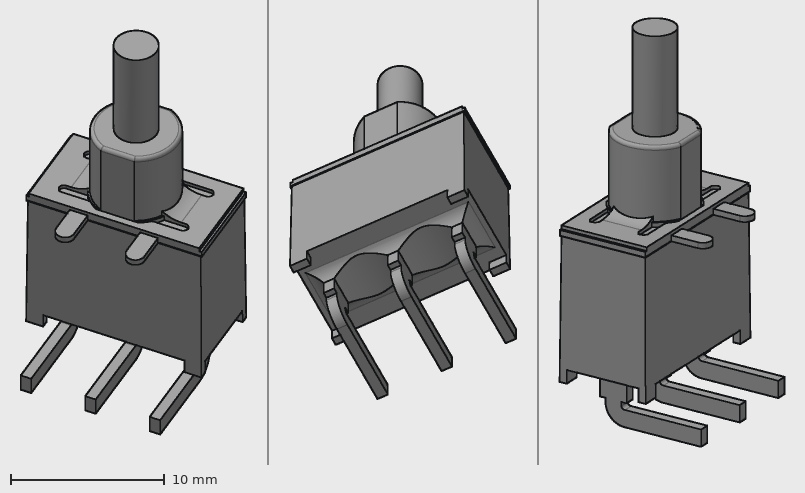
import cadquery as cq
import math


TOTAL_HEIGHT = 26.35
BUSHING_TOP = 19.2
COVER_TOP = 13.78
COVER_LEDGE = 13.5
COVER_BOTTOM = 13.1
RECESS_CEILING = 3.7
BODY_BOTTOM = 2.7

BODY_LENGTH = 12.7
BODY_WIDTH = 6.65
BODY_DRAFT = 0.5
RECESS_LENGTH = 10.22
RECESS_WIDTH = 5.53

COVER_WIDTH = 6.58
COVER_TOP_LENGTH = 12.33
SLOT_LENGTH = 9.32
SLOT_WIDTH = 0.7
SLOT_OFFSET = 1.87
TAB_WIDTH = 1.3
TAB_SPACING = 5.08
TAB_REACH = 5.95

RAMP_START = 3.98
RAMP_RADIUS = 2.32
RAMP_INNER = 2.37
RAMP_WIDTH = 2 * SLOT_OFFSET - SLOT_WIDTH

BUSHING_DIAMETER = 6.03
BUSHING_FLATS = 5.53
BUSHING_FILLET = 0.26
COLLAR_DIAMETER = 6.32
COLLAR_HEIGHT = 0.08
PLUNGER_DIAMETER = 2.95

PIN_PITCH = 4.65
PIN_WIDTH = 0.76
PIN_DEPTH = 1.25
PIN_REACH = 6.77
PIN_BEND_RADIUS = 0.25
SHOULDER_WIDTH = 2.05
SHOULDER_BOTTOM = 1.75

SEAL_BOTTOM = 3.03
SEAL_FLARE = 0.9
SEAL_FLARE_BULGE = 0.08
SEAL_ARCH_TOP = 3.58


def block(length, width, bottom, top):
    """Box centred on the Z axis between two heights."""
    return cq.Workplane("XY").workplane(offset=bottom).rect(length, width).extrude(top - bottom)


def make_body():
    """Drafted case with a cross-shaped recess that leaves four corner feet."""
    body = (
        cq.Workplane("XY")
        .workplane(offset=BODY_BOTTOM)
        .rect(BODY_LENGTH, BODY_WIDTH)
        .extrude(COVER_BOTTOM - BODY_BOTTOM, taper=BODY_DRAFT)
    )
    body = body.cut(block(RECESS_LENGTH, 2 * BODY_WIDTH, BODY_BOTTOM, RECESS_CEILING))
    return body.cut(block(2 * BODY_LENGTH, RECESS_WIDTH, BODY_BOTTOM, RECESS_CEILING))


def make_cover():
    """Stepped plate with two slots and two round-ended mounting tabs."""
    cover = block(BODY_LENGTH, COVER_WIDTH, COVER_BOTTOM, COVER_LEDGE)
    cover = cover.union(block(COVER_TOP_LENGTH, COVER_WIDTH, COVER_LEDGE, COVER_TOP))
    slots = (
        cq.Workplane("XY")
        .workplane(offset=COVER_LEDGE)
        .pushPoints([(0, SLOT_OFFSET), (0, -SLOT_OFFSET)])
        .slot2D(SLOT_LENGTH, SLOT_WIDTH)
        .extrude(COVER_TOP - COVER_LEDGE)
    )
    tabs = (
        cq.Workplane("XY")
        .workplane(offset=COVER_BOTTOM)
        .pushPoints([(-TAB_SPACING / 2, -TAB_REACH / 2), (TAB_SPACING / 2, -TAB_REACH / 2)])
        .slot2D(TAB_REACH, TAB_WIDTH, 90)
        .extrude(COVER_LEDGE - COVER_BOTTOM)
    )
    return cover.cut(slots).union(tabs)


def ramp_height(x):
    """Height of the bent strip at a distance x from the axis."""
    run = RAMP_START - x
    return COVER_TOP + RAMP_RADIUS - math.sqrt(RAMP_RADIUS**2 - run**2)


def make_ramp():
    """Strip on the +X side, curving upward toward the bushing."""
    middle = (RAMP_START + RAMP_INNER) / 2
    return (
        cq.Workplane("XZ")
        .moveTo(RAMP_START, COVER_TOP)
        .threePointArc((middle, ramp_height(middle)), (RAMP_INNER, ramp_height(RAMP_INNER)))
        .lineTo(RAMP_INNER, COVER_LEDGE)
        .lineTo(RAMP_START, COVER_LEDGE)
        .close()
        .extrude(RAMP_WIDTH / 2, both=True)
    )


def flatted_cylinder(diameter, bottom, top):
    """Cylinder on the Z axis with flats facing -Y and +Y."""
    cylinder = cq.Workplane("XY").workplane(offset=bottom).circle(diameter / 2).extrude(top - bottom)
    return cylinder.intersect(block(2 * diameter, BUSHING_FLATS, bottom, top))


def make_bushing():
    """Flatted bushing on a low collar, with the plunger standing in it."""
    bushing = flatted_cylinder(BUSHING_DIAMETER, COVER_LEDGE, BUSHING_TOP)
    bushing = bushing.faces(">Z").edges().fillet(BUSHING_FILLET)
    collar = flatted_cylinder(COLLAR_DIAMETER, COVER_LEDGE, COVER_TOP + COLLAR_HEIGHT)
    plunger = (
        cq.Workplane("XY")
        .workplane(offset=COVER_TOP)
        .circle(PLUNGER_DIAMETER / 2)
        .extrude(TOTAL_HEIGHT - COVER_TOP)
    )
    return bushing.union(collar).union(plunger)


def flared_profile(plane, bottom_half, depth):
    """Prism below the recess ceiling whose two sides flare outward to meet it."""
    top_half = bottom_half + SEAL_FLARE
    flare_middle = bottom_half + SEAL_FLARE / 2 - SEAL_FLARE_BULGE
    flare_height = (RECESS_CEILING + SEAL_BOTTOM) / 2 + SEAL_FLARE_BULGE
    return (
        cq.Workplane(plane)
        .moveTo(-top_half, RECESS_CEILING)
        .threePointArc((-flare_middle, flare_height), (-bottom_half, SEAL_BOTTOM))
        .lineTo(bottom_half, SEAL_BOTTOM)
        .threePointArc((flare_middle, flare_height), (top_half, RECESS_CEILING))
        .close()
        .extrude(depth / 2, both=True)
    )


def make_seal():
    """Compound below the recess ceiling: flared on all sides, arched between terminals."""
    lengthwise = flared_profile("XZ", PIN_PITCH + PIN_WIDTH / 2, BODY_WIDTH)
    crosswise = flared_profile("YZ", SHOULDER_WIDTH / 2, BODY_LENGTH)
    seal = lengthwise.intersect(crosswise)
    arch_half = (PIN_PITCH - PIN_WIDTH) / 2
    for center in (-PIN_PITCH / 2, PIN_PITCH / 2):
        arch = (
            cq.Workplane("XZ")
            .moveTo(center - arch_half, SEAL_BOTTOM)
            .threePointArc((center, SEAL_ARCH_TOP), (center + arch_half, SEAL_BOTTOM))
            .close()
            .extrude(BODY_WIDTH / 2, both=True)
        )
        seal = seal.cut(arch)
    return seal


def make_pin():
    """Terminal with a wide shoulder, bent a quarter turn toward -Y."""
    half = PIN_DEPTH / 2
    shoulder_half = SHOULDER_WIDTH / 2
    outer_radius = PIN_BEND_RADIUS + PIN_DEPTH
    bend_y = half - outer_radius
    bend_z = outer_radius
    diagonal = math.sqrt(0.5)
    return (
        cq.Workplane("YZ")
        .moveTo(shoulder_half, RECESS_CEILING)
        .lineTo(shoulder_half, SHOULDER_BOTTOM)
        .lineTo(half, SHOULDER_BOTTOM)
        .lineTo(half, bend_z)
        .threePointArc(
            (bend_y + outer_radius * diagonal, bend_z - outer_radius * diagonal),
            (bend_y, 0),
        )
        .lineTo(-PIN_REACH, 0)
        .lineTo(-PIN_REACH, PIN_DEPTH)
        .lineTo(bend_y, PIN_DEPTH)
        .threePointArc(
            (bend_y + PIN_BEND_RADIUS * diagonal, bend_z - PIN_BEND_RADIUS * diagonal),
            (-half, bend_z),
        )
        .lineTo(-half, SHOULDER_BOTTOM)
        .lineTo(-shoulder_half, SHOULDER_BOTTOM)
        .lineTo(-shoulder_half, RECESS_CEILING)
        .close()
        .extrude(PIN_WIDTH / 2, both=True)
    )


ramp = make_ramp()
result = make_body().union(make_cover()).union(ramp).union(ramp.mirror("YZ"))
result = result.union(make_bushing()).union(make_seal())
pin = make_pin()
for pin_x in (-PIN_PITCH, 0, PIN_PITCH):
    result = result.union(pin.translate((pin_x, 0, 0)))